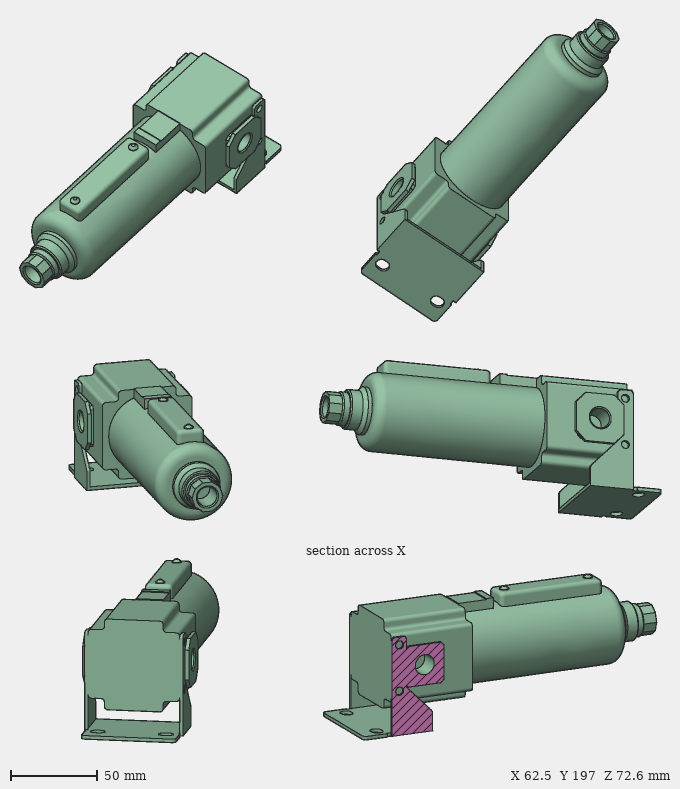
import cadquery as cq
import math

EMBED = 2.0
SELECT_MARGIN = 0.2

head_length = 52.2
head_half = 27.0
arm_half_x = 17.3
arm_half_z = 20.5
convex_radius = 2.2
concave_radius = 2.0

tip_y = -179.0
bowl_root_radius = 23.2
bowl_end_radius = 23.0
bowl_fillet = 6.1
bowl_end_y = -154.6
collar_radius = 14.0
collar_end_y = -157.0
barrel_radius = 11.6
barrel_end_y = -166.7
barrel_chamfer = 0.8
neck_radius = 9.8
neck_end_y = -171.0
neck_chamfer = 0.8
nut_sides = 10
nut_radius = 9.3
drain_bore_radius = 6.0
drain_bore_depth = 15.8
bore_chamfer = 0.8

button_half_x = 8.0
button_end_y = -74.7
button_ridge_y = -70.1
button_height = 27.5
ridge_height = 28.2
button_floor = 19.7

bar_half_x = 8.0
bar_rear_y = -79.8
bar_front_y = -145.0
bar_top = 30.0
bar_floor = 17.7
bar_corner_radius = 2.5
bar_top_radius = 2.4
screw_inset = 5.7
screw_radius = 2.8
screw_top_radius = 1.0
screw_height = 1.8
screw_rim_height = 0.4

port_y = -21.0
port_span = 62.5
port_face_x = port_span / 2
flange_half = 14.5
flange_corner = 5.7
stem_half = 12.5
stem_corner = 2.0
port_bore_radius = 6.0
port_bore_depth = 15.8

side_thickness = 2.0
foot_thickness = 2.2
bracket_half_x = head_half + side_thickness
bracket_bottom = -40.8
bracket_front_y = -26.2
bracket_shoulder_z = -28.8
bracket_shoulder_radius = 2.5
strip_width = 9.5
strip_top = 19.0
strip_corner = 2.0
screw_hole_radius = 2.4
screw_hole_y = -5.0
screw_hole_z = 14.0
foot_rear_y = 18.0
foot_half_x = 27.8
foot_corner = 2.4
foot_waist_length = 2.8
slot_x = 20.0
slot_y = 6.1
slot_length = 8.5
slot_width = 6.7


def box(x0, x1, y0, y1, z0, z1):
    """Axis-aligned box between two opposite corners."""
    return cq.Workplane("XY").box(x1 - x0, y1 - y0, z1 - z0, centered=False).translate((x0, y0, z0))


def octagon(half, corner, x):
    """Square with cut corners, in the plane at the given X, around the port axis."""
    square = cq.Sketch().rect(2 * half, 2 * half).vertices().chamfer(corner)
    return cq.Workplane("YZ", origin=(x, port_y, 0)).placeSketch(square)


def box_edges(half_x, half_z):
    """Selector for the edges along Y whose middle lies within the given X and Z limits."""
    inside = cq.selectors.BoxSelector((-half_x, -head_length, -half_z), (half_x, 0, half_z))
    return cq.selectors.ParallelDirSelector(cq.Vector(0, 1, 0)) & inside


def make_head():
    wide = box(-head_half, head_half, -head_length, 0, -arm_half_z, arm_half_z)
    tall = box(-arm_half_x, arm_half_x, -head_length, 0, -head_half, head_half)
    inner_corners = box_edges(arm_half_x + SELECT_MARGIN, arm_half_z + SELECT_MARGIN)
    outer_corners = box_edges(head_half + SELECT_MARGIN, head_half + SELECT_MARGIN) - inner_corners
    cross = wide.union(tall)
    cross = cross.edges(outer_corners).fillet(convex_radius)
    return cross.edges(inner_corners).fillet(concave_radius)


def make_bowl():
    fillet_start_y = bowl_end_y + bowl_fillet
    fillet_mid = bowl_fillet * (1 - math.sqrt(0.5))
    barrel_start_y = collar_end_y - (collar_radius - barrel_radius)
    return (
        cq.Workplane("XY")
        .moveTo(0, -head_length + EMBED)
        .lineTo(bowl_root_radius, -head_length + EMBED)
        .lineTo(bowl_end_radius, fillet_start_y)
        .threePointArc(
            (bowl_end_radius - fillet_mid, bowl_end_y + fillet_mid),
            (bowl_end_radius - bowl_fillet, bowl_end_y),
        )
        .lineTo(collar_radius, bowl_end_y)
        .lineTo(collar_radius, collar_end_y)
        .lineTo(barrel_radius, barrel_start_y)
        .lineTo(barrel_radius, barrel_end_y + barrel_chamfer)
        .lineTo(barrel_radius - barrel_chamfer, barrel_end_y)
        .lineTo(neck_radius, barrel_end_y)
        .lineTo(neck_radius, neck_end_y + neck_chamfer)
        .lineTo(neck_radius - neck_chamfer, neck_end_y)
        .lineTo(0, neck_end_y)
        .close()
        .revolve(360, (0, 0, 0), (0, 1, 0))
    )


def make_nut():
    start_y = neck_end_y + EMBED
    return (
        cq.Workplane("XZ", origin=(0, start_y, 0))
        .polygon(nut_sides, 2 * nut_radius)
        .extrude(start_y - tip_y)
    )


def make_button():
    body = box(-button_half_x, button_half_x, button_end_y, -head_length, button_floor, button_height)
    ridge = box(-button_half_x, button_half_x, button_end_y, button_ridge_y, button_floor, ridge_height)
    return body.union(ridge)


def make_cover_bar():
    bar = box(-bar_half_x, bar_half_x, bar_front_y, bar_rear_y, bar_floor, bar_top)
    bar = bar.edges("|Z").fillet(bar_corner_radius)
    bar = bar.faces(">Z").edges().fillet(bar_top_radius)
    for screw_y in (bar_rear_y - screw_inset, bar_front_y + screw_inset):
        screw = (
            cq.Workplane("XZ", origin=(0, screw_y, bar_top))
            .moveTo(0, -EMBED)
            .lineTo(screw_radius, -EMBED)
            .lineTo(screw_radius, screw_rim_height)
            .lineTo(screw_top_radius, screw_height)
            .lineTo(0, screw_height)
            .close()
            .revolve(360, (0, 0, 0), (0, 1, 0))
        )
        bar = bar.union(screw)
    return bar


def make_port():
    """Port boss on the +X side: an octagonal flange that rests on the bracket, on a narrower stem."""
    stem_start_x = head_half - EMBED
    stem = octagon(stem_half, stem_corner, stem_start_x).extrude(port_face_x - stem_start_x)
    flange = octagon(flange_half, flange_corner, bracket_half_x).extrude(port_face_x - bracket_half_x)
    return stem.union(flange)


def make_bore(mouth, inward, radius, depth):
    """Blind hole with a chamfered mouth, starting at a point and running inward."""
    bore = cq.Solid.makeCylinder(radius, depth, mouth, inward)
    chamfer = cq.Solid.makeCone(radius + bore_chamfer, radius, bore_chamfer, mouth, inward)
    return cq.Workplane(bore).union(cq.Workplane(chamfer))


def make_bracket_side():
    """Upright on the +X side: narrow strip that widens at 45 degrees towards the foot."""
    gusset_top_z = bracket_shoulder_z - bracket_front_y - strip_width
    inner_face = cq.Workplane("YZ", origin=(head_half, 0, 0))
    side = (
        inner_face.moveTo(0, bracket_bottom)
        .lineTo(0, strip_top)
        .lineTo(-strip_width, strip_top)
        .lineTo(-strip_width, gusset_top_z)
        .lineTo(bracket_front_y, bracket_shoulder_z)
        .lineTo(bracket_front_y, bracket_bottom)
        .close()
        .extrude(side_thickness)
    )
    side = side.edges("|X and >Z").fillet(strip_corner)
    shoulder = cq.Vector(head_half + side_thickness / 2, bracket_front_y, bracket_shoulder_z)
    side = side.edges(cq.selectors.NearestToPointSelector(shoulder)).fillet(bracket_shoulder_radius)
    screw_holes = (
        inner_face.pushPoints([(screw_hole_y, screw_hole_z), (screw_hole_y, -screw_hole_z)])
        .circle(screw_hole_radius)
        .extrude(side_thickness)
    )
    return side.cut(screw_holes)


def make_foot():
    foot_top = bracket_bottom + foot_thickness
    base = box(-bracket_half_x, bracket_half_x, bracket_front_y, 0, bracket_bottom, foot_top)
    waist = box(-head_half, head_half, -EMBED, foot_waist_length, bracket_bottom, foot_top)
    tab = box(-foot_half_x, foot_half_x, foot_waist_length, foot_rear_y, bracket_bottom, foot_top)
    tab = tab.edges("|Z and >Y").fillet(foot_corner)
    slots = (
        cq.Workplane("XY", origin=(0, 0, bracket_bottom))
        .pushPoints([(-slot_x, slot_y), (slot_x, slot_y)])
        .slot2D(slot_length, slot_width)
        .extrude(foot_thickness)
    )
    return base.union(waist).union(tab).cut(slots)


def both_sides(feature):
    """A feature of the +X side together with its mirror image on the -X side."""
    return feature.union(feature.mirror("YZ"))


port_bore = make_bore(
    cq.Vector(port_face_x, port_y, 0), cq.Vector(-1, 0, 0), port_bore_radius, port_bore_depth
)
drain_bore = make_bore(
    cq.Vector(0, tip_y, 0), cq.Vector(0, 1, 0), drain_bore_radius, drain_bore_depth
)

result = (
    make_head()
    .union(make_bowl())
    .union(make_nut())
    .union(make_button())
    .union(make_cover_bar())
    .union(make_foot())
    .union(both_sides(make_bracket_side()))
    .union(both_sides(make_port()))
    .cut(both_sides(port_bore))
    .cut(drain_bore)
)